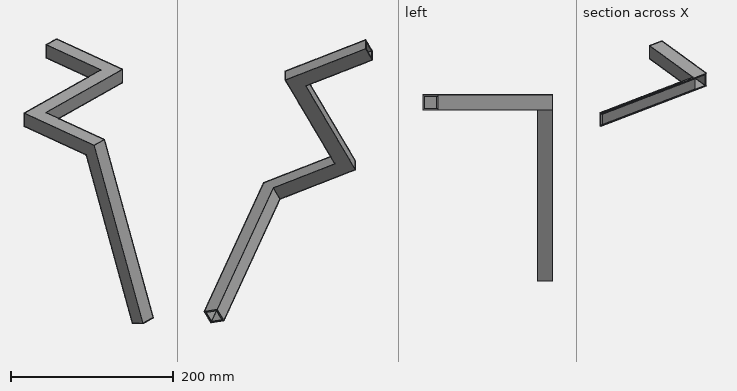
import cadquery as cq
import math

tube_width = 19.0
wall = 2.0

length_x = 287.5
length_y = 159.5
height = 229.0

first_leg_length = 109.5
slope_from_vertical = math.radians(20)

slope_sine = math.sin(slope_from_vertical)
slope_cosine = math.cos(slope_from_vertical)

slope_length = (height - tube_width * slope_sine) / slope_cosine
slope_run = slope_length * slope_sine
slope_drop = slope_length * slope_cosine
corner_x = length_x - slope_run

mitre_shift = (1 - slope_sine) / slope_cosine


def bent_bar(inset):
    """Solid bar along the tube's path, inset from its outer faces but flush at both ends."""
    width = tube_width - 2 * inset

    cross_right = first_leg_length - inset
    cross_left = cross_right - width
    back = length_y - inset
    flat_legs = (
        cq.Workplane("XY", origin=(0, 0, inset - tube_width))
        .polyline([
            (0, back),
            (cross_right, back),
            (cross_right, inset),
            (cross_left, inset),
            (cross_left, back - width),
            (0, back - width),
        ])
        .close()
        .extrude(width)
    )

    def mitre_point(depth):
        return (corner_x - depth * mitre_shift, -depth)

    def end_point(depth):
        return (length_x - depth * slope_cosine, -slope_drop - depth * slope_sine)

    near = inset
    far = inset + width
    front_leg = (
        cq.Workplane("XZ", origin=(0, inset, 0))
        .polyline([
            (cross_left, -near),
            mitre_point(near),
            end_point(near),
            end_point(far),
            mitre_point(far),
            (cross_left, -far),
        ])
        .close()
        .extrude(-width)
    )

    return flat_legs.union(front_leg)


result = bent_bar(0).cut(bent_bar(wall))